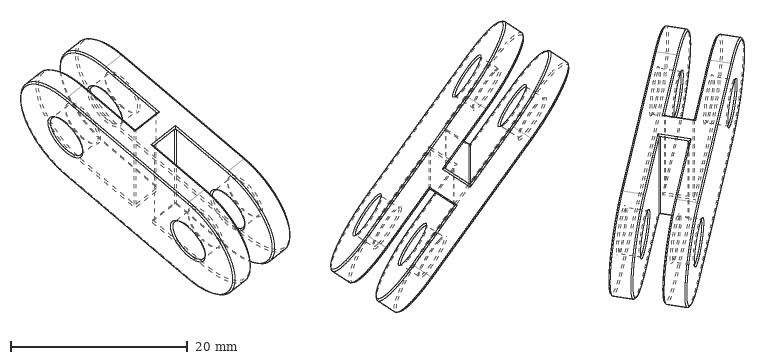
import cadquery as cq

length = 35.0
thickness = 9.0
height = 15.0

hole_diameter = 5.3
slot_width = 3.43
web_width = 3.0
bevel = 0.2
corner_leg = 0.15

hole_spacing = length - height
cheek_thickness = (thickness - slot_width) / 2


def make_cheek(side):
    """Full-round cheek with two holes and bevelled rims, on the -Y or +Y side."""
    cheek = (
        cq.Workplane("XZ")
        .slot2D(length, height)
        .pushPoints([(-hole_spacing / 2, 0), (hole_spacing / 2, 0)])
        .circle(hole_diameter / 2)
        .extrude(cheek_thickness / 2, both=True)
        .faces("|Y")
        .chamfer(bevel)
    )
    return cheek.translate((0, side * (slot_width + cheek_thickness) / 2, 0))


def make_web():
    """Flat web between the cheeks, bevelled top and bottom and buried in both cheeks."""
    return (
        cq.Workplane("XY")
        .box(web_width, slot_width + cheek_thickness, height)
        .edges("|Y")
        .chamfer(bevel)
    )


def make_corner_strips():
    """45 degree strips along the four inner slot corners, ending where the bevels begin."""
    corner_x = web_width / 2
    corner_y = slot_width / 2
    strips = cq.Workplane("XY")
    for side_x in (-1, 1):
        for side_y in (-1, 1):
            strip = (
                cq.Workplane("XY")
                .polyline([
                    (0, side_y * corner_y),
                    (0, side_y * (corner_y - corner_leg)),
                    (side_x * corner_x, side_y * (corner_y - corner_leg)),
                    (side_x * (corner_x + corner_leg), side_y * corner_y),
                ])
                .close()
                .extrude(height / 2 - bevel, both=True)
            )
            strips = strips.add(strip)
    return strips.combine()


link = make_web().union(make_corner_strips())
for side in (-1, 1):
    link = link.union(make_cheek(side))
result = link